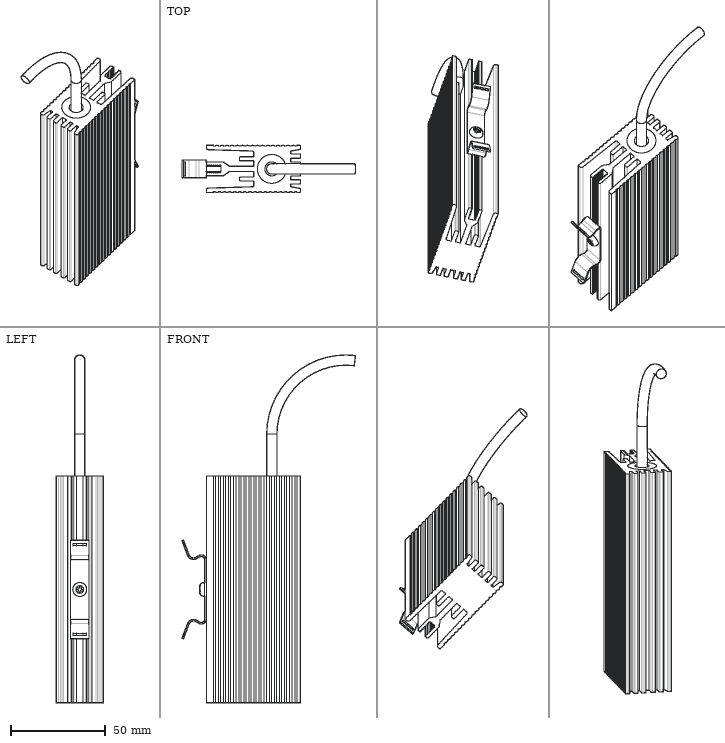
import cadquery as cq
import math

SINK_LENGTH = 49.9
SINK_WIDTH = 25.0
SINK_HEIGHT = 120.0
CORE_START = 25.0
CORE_END = 44.7
WING_TIP_INNER_Y = 10.1
WING_TIP_FILLET = 1.1
WING_ROOT_INNER_Y = 9.4
REAR_WING_TIP_INNER_Y = 10.3
REAR_WING_FILLET = 0.7
CHANNEL_FILLET = 0.7

SHORT_FIN_START = 17.5
SHORT_FIN_Y = 5.3
SHORT_FIN_THICKNESS = 2.2
SHORT_FIN_ROUNDING = 0.5

REAR_FIN_CENTRES = (2.5, 6.8)
REAR_FIN_THICKNESS = 2.4
REAR_FIN_ROUNDING = 0.5

STEM_THICKNESS = 3.0
RAIL_WIDTH = 7.4
RAIL_TAPER_START = 9.0
RAIL_TAPER_END = 12.1
RAIL_TIP_FILLET = 0.7
RAIL_SLOT_DEPTH = 7.7
SERRATION_COUNT = 7
SERRATION_CREST_Y = 1.7
SERRATION_ROOT_Y = 2.0

GROOVE_COUNT = 17
GROOVE_FIRST_X = 4.2
GROOVE_LAST_X = 47.3
GROOVE_PITCH = (GROOVE_LAST_X - GROOVE_FIRST_X) / (GROOVE_COUNT - 1)
GROOVE_WIDTH = 1.1
GROOVE_FLOOR_DEPTH = 0.4
RIDGE_SHOULDER_DEPTH = 0.2

CABLE_X = 34.5
PLUG_DIAMETER = 15.3
PLUG_BORE_DIAMETER = 7.4
PLUG_DEPTH = 10.0
CABLE_DIAMETER = 5.5
STRAIGHT_RISE = 22.0
OVERALL_HEIGHT = 184.0
BEND_ANGLE = 97.0

SHEET = 1.0
CLIP_WIDTH = 9.5
CLIP_Z = SINK_HEIGHT / 2
CLIP_ROOT_Z = 19.5
ROOT_BEND_RADIUS = 2.2
ARM_BEND_X = -8.3
ARM_BEND_Z = 14.9
ARM_BEND_RADIUS = 3.0
CLIP_TIP_X = -12.5
CLIP_TIP_Z = 26.0
CLIP_SLOT_LENGTH = 7.4
CLIP_SLOT_HEIGHT = 1.1
CLIP_SLOT_Z = 23.7
CLIP_SLOT_REACH = 5.5

SHANK_DIAMETER = 3.0
HEAD_DIAMETER = 7.4
HEAD_HEIGHT = 2.5
HEAD_FLAT_DIAMETER = 4.0
HEAD_MID_DIAMETER = 6.8
HEAD_MID_HEIGHT = 1.5
RECESS_LENGTH = 4.0
RECESS_WIDTH = 1.0
RECESS_DEPTH = 1.1
RECESS_TURN = 20.0


def rib(x_start, x_end, thickness):
    """Full-height block between two X limits, centred on Y = 0."""
    block = cq.Workplane("XY").box(x_end - x_start, thickness, SINK_HEIGHT, centered=(False, True, False))
    return block.translate((x_start, 0, 0))


def extrude_outline(points):
    """Full-height extrusion of a closed polygon in plan."""
    return cq.Workplane("XY").polyline(points).close().extrude(SINK_HEIGHT)


def make_wing(side):
    """Grooved side wall; its inner face tapers in the front channel and at the rear."""
    crown_y = side * SINK_WIDTH / 2
    shoulder_y = side * (SINK_WIDTH / 2 - RIDGE_SHOULDER_DEPTH)
    floor_y = side * (SINK_WIDTH / 2 - GROOVE_FLOOR_DEPTH)
    outline = (
        cq.Workplane("XY")
        .moveTo(0, side * WING_TIP_INNER_Y)
        .lineTo(0, crown_y)
        .lineTo(GROOVE_FIRST_X - GROOVE_WIDTH / 2, crown_y)
    )
    for i in range(GROOVE_COUNT):
        groove_x = GROOVE_FIRST_X + i * GROOVE_PITCH
        ridge_start = groove_x + GROOVE_WIDTH / 2
        outline = outline.lineTo(groove_x - GROOVE_WIDTH / 2, floor_y).lineTo(ridge_start, floor_y)
        if i < GROOVE_COUNT - 1:
            crown = (groove_x + GROOVE_PITCH / 2, crown_y)
            ridge_end = (ridge_start + GROOVE_PITCH - GROOVE_WIDTH, shoulder_y)
            outline = outline.lineTo(ridge_start, shoulder_y).threePointArc(crown, ridge_end)
    outline = (
        outline.lineTo(ridge_start, crown_y)
        .lineTo(SINK_LENGTH, crown_y)
        .lineTo(SINK_LENGTH, side * REAR_WING_TIP_INNER_Y)
        .lineTo(CORE_END, side * WING_ROOT_INNER_Y)
        .lineTo(CORE_START, side * WING_ROOT_INNER_Y)
        .close()
    )
    wing = outline.extrude(SINK_HEIGHT)
    wing = wing.edges("|Z and >X").fillet(REAR_WING_FILLET)
    inner_tip = cq.NearestToPointSelector((0, side * WING_TIP_INNER_Y, SINK_HEIGHT / 2))
    return wing.edges("|Z").edges(inner_tip).fillet(WING_TIP_FILLET)


def make_rail():
    """Stem and slotted head that carry the clip; the slot walls are serrated to grip the screw."""
    stem_y = STEM_THICKNESS / 2
    head_y = RAIL_WIDTH / 2
    rail = extrude_outline([
        (0, -head_y),
        (RAIL_TAPER_START, -head_y),
        (RAIL_TAPER_END, -stem_y),
        (CORE_START, -stem_y),
        (CORE_START, stem_y),
        (RAIL_TAPER_END, stem_y),
        (RAIL_TAPER_START, head_y),
        (0, head_y),
    ])
    rail = rail.edges("|Z and <X").fillet(RAIL_TIP_FILLET)

    pitch = RAIL_SLOT_DEPTH / SERRATION_COUNT
    wall = []
    for i in range(SERRATION_COUNT):
        wall.append((i * pitch, SERRATION_CREST_Y))
        wall.append(((i + 0.5) * pitch, SERRATION_ROOT_Y))
    wall.append((RAIL_SLOT_DEPTH, SERRATION_CREST_Y))
    opposite_wall = [(x, -y) for x, y in reversed(wall)]
    return rail.cut(extrude_outline(wall + opposite_wall))


def is_channel_corner(edge):
    """True where a wing's inner face meets the front of the core."""
    centre = edge.Center()
    return math.isclose(centre.x, CORE_START) and math.isclose(abs(centre.y), WING_ROOT_INNER_Y)


def make_heat_sink():
    """Core with the clip rail, wings and fins, and a pocket in the top for the cable entry."""
    core = rib(CORE_START, CORE_END, 2 * WING_ROOT_INNER_Y)
    sink = core.union(make_rail())
    for side in (-1, 1):
        sink = sink.union(make_wing(side))
        short_fin = rib(SHORT_FIN_START, CORE_START, SHORT_FIN_THICKNESS)
        short_fin = short_fin.edges("|Z and <X").fillet(SHORT_FIN_ROUNDING)
        sink = sink.union(short_fin.translate((0, side * SHORT_FIN_Y, 0)))
        for y in REAR_FIN_CENTRES:
            rear_fin = rib(CORE_END, SINK_LENGTH, REAR_FIN_THICKNESS)
            rear_fin = rear_fin.edges("|Z and >X").fillet(REAR_FIN_ROUNDING)
            sink = sink.union(rear_fin.translate((0, side * y, 0)))
    channel_corners = sink.edges("|Z").filter(is_channel_corner)
    sink = channel_corners.fillet(CHANNEL_FILLET)
    pocket = cq.Workplane("XY").circle(PLUG_DIAMETER / 2).extrude(PLUG_DEPTH)
    return sink.cut(pocket.translate((CABLE_X, 0, SINK_HEIGHT - PLUG_DEPTH)))


def make_plug():
    """Ring that closes the cable pocket, flush with the top of the heat sink."""
    plug = cq.Workplane("XY").circle(PLUG_DIAMETER / 2).circle(PLUG_BORE_DIAMETER / 2).extrude(PLUG_DEPTH)
    return plug.translate((CABLE_X, 0, SINK_HEIGHT - PLUG_DEPTH))


def make_straight_cable():
    """Cable length that stands on the pocket floor and rises out of the plug."""
    cable = cq.Workplane("XY").circle(CABLE_DIAMETER / 2).extrude(PLUG_DEPTH + STRAIGHT_RISE)
    return cable.translate((CABLE_X, 0, SINK_HEIGHT - PLUG_DEPTH))


def make_bent_cable():
    """Cable length on a circular arc, starting upright and leaning toward +X."""
    start_z = SINK_HEIGHT + STRAIGHT_RISE
    bend_radius = OVERALL_HEIGHT - start_z - CABLE_DIAMETER / 2
    section = cq.Workplane("XY").circle(CABLE_DIAMETER / 2)
    bend = section.revolve(BEND_ANGLE, (bend_radius, 0, 0), (bend_radius, 1, 0))
    return bend.translate((CABLE_X, 0, start_z))


def vertices_at(path, x, height):
    """Corners of a path at the given X and at the given height above or below Z = 0."""
    return [v for v in path.Vertices() if math.isclose(v.X, x) and math.isclose(abs(v.Z), height)]


def make_clip():
    """Spring clip: one bent strip with a slot near each tip and a hole for the screw."""
    plate_x = -SHEET / 2
    upper_arm = [
        (plate_x, CLIP_ROOT_Z),
        (ARM_BEND_X, ARM_BEND_Z),
        (CLIP_TIP_X, CLIP_TIP_Z),
    ]
    lower_arm = [(x, -z) for x, z in reversed(upper_arm)]
    path = cq.Wire.makePolygon([cq.Vector(x, 0, z) for x, z in lower_arm + upper_arm])
    path = path.fillet(ARM_BEND_RADIUS, vertices_at(path, ARM_BEND_X, ARM_BEND_Z))
    path = path.fillet(ROOT_BEND_RADIUS, vertices_at(path, plate_x, CLIP_ROOT_Z))
    start_plane = cq.Plane(path.startPoint(), (0, 1, 0), path.tangentAt(0))
    clip = cq.Workplane(start_plane).rect(CLIP_WIDTH, SHEET).sweep(cq.Workplane(path))

    for z in (-CLIP_SLOT_Z, CLIP_SLOT_Z):
        slot = cq.Workplane("XY").box(CLIP_SLOT_REACH, CLIP_SLOT_LENGTH, CLIP_SLOT_HEIGHT)
        clip = clip.cut(slot.translate((CLIP_TIP_X, 0, z)))
    screw_hole = cq.Workplane("YZ").circle(SHANK_DIAMETER / 2).extrude(2 * SHEET, both=True)
    return clip.cut(screw_hole).translate((0, 0, CLIP_Z))


def make_screw():
    """Round-headed screw along X with a cross recess; the head sits on the clip plate."""
    seat_x = -SHEET
    top_x = seat_x - HEAD_HEIGHT
    profile = (
        cq.Workplane("XY")
        .moveTo(RAIL_SLOT_DEPTH, 0)
        .lineTo(RAIL_SLOT_DEPTH, SHANK_DIAMETER / 2)
        .lineTo(seat_x, SHANK_DIAMETER / 2)
        .lineTo(seat_x, HEAD_DIAMETER / 2)
        .threePointArc((seat_x - HEAD_MID_HEIGHT, HEAD_MID_DIAMETER / 2), (top_x, HEAD_FLAT_DIAMETER / 2))
        .lineTo(top_x, 0)
        .close()
    )
    screw = profile.revolve(360, (0, 0, 0), (1, 0, 0))
    for turn in (RECESS_TURN, RECESS_TURN + 90):
        slot = cq.Workplane("XY").box(2 * RECESS_DEPTH, RECESS_LENGTH, RECESS_WIDTH)
        slot = slot.rotate((0, 0, 0), (1, 0, 0), turn)
        screw = screw.cut(slot.translate((top_x, 0, 0)))
    return screw.translate((0, 0, CLIP_Z))


heat_sink = make_heat_sink()
plug = make_plug()
straight_cable = make_straight_cable()
bent_cable = make_bent_cable()
clip = make_clip()
screw = make_screw()

result = cq.Compound.makeCompound([
    heat_sink.val(),
    plug.val(),
    straight_cable.val(),
    bent_cable.val(),
    clip.val(),
    screw.val(),
])